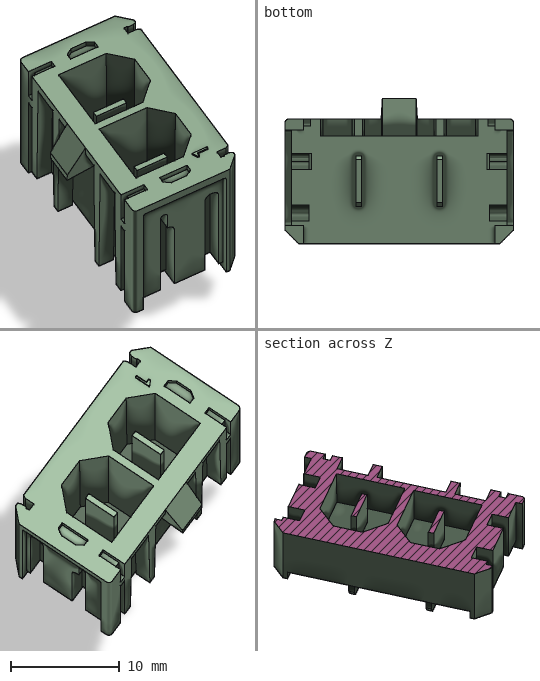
import cadquery as cq


width = 21.08
depth = 11.5
height = 14.73
half_width = width / 2
back_chamfer = 1.29
front_round = 0.4
floor_z = 0.82
foot_width = 1.73
front_foot_depth = 1.01
back_foot_depth = 1.67

pitch = 7.46
pole_places = (-pitch / 2, pitch / 2)
cavity_width = 6.72
cavity_front = 2.21
cavity_length = 7.0
cavity_chamfer = 1.92
cavity_floor_z = 2.1
cavity_taper = 0.5
pin_thickness = 0.55
pin_middle = 5.73
contact_length = 3.23
contact_top_z = 11.36
tail_length = 4.64
tail_tip_z = -3.77
tail_chamfer_y = 0.34
tail_chamfer_z = 0.57

pocket_top_z = 13.77
pocket_depth = 1.55
outer_pocket_top = (4.35, 7.05)
middle_pocket_top = 3.18
pocket_flare = 0.2
rib_bottom_z = 0.15

latch_reach = 1.88
latch_root_width = 3.35
latch_tip_width = 3.05
latch_tip_top_z = 11.78
latch_tip_bottom_z = 11.0
latch_root_bottom_z = 11.47

slot_inner = 8.15
slot_outer = half_width - foot_width
shallow_floor_z = height - 0.6
shallow_slot_depth = 2.45
front_slot_depth = 0.65
bridge_top_z = 11.25
bridge_bottom_z = 10.2
bridge_root_round = 0.21
eye_outer = 9.21
eye_front = 4.13
eye_back = 7.05
eye_chamfer_x = 0.42
eye_chamfer_y = 0.65
back_slot_depth = 1.29
back_slot_end_length = 0.38
back_slot_end_step = 0.08
back_slot_flare_x = 0.15
back_slot_flare_y = 0.32

end_recess_depth = 0.63
end_recess_top_z = 13.77
end_recess_round = 0.32
end_slot_width = 1.48
end_slot_depth = 1.58
end_slot_top_z = 11.49
back_end_slot_front = 7.93
front_end_slot_front = 3.2
end_slot_step_z = 9.38
end_slot_chamfer_x = 0.23
end_slot_chamfer_z = 0.4

mark_height = 0.17
mark_x = 7.3
mark_front = 8.07
mark_length = 1.6
mark_stroke = 0.2
mark_flag_reach = 0.57
mark_flag_height = 0.48


def box(x, y, z):
    """Box from three (low, high) ranges."""
    size = (x[1] - x[0], y[1] - y[0], z[1] - z[0])
    return cq.Workplane("XY").box(*size, centered=False).translate((x[0], y[0], z[0]))


def prism(outline, z_low, z_high):
    """Upright prism on an (X, Y) outline."""
    plane = cq.Workplane("XY").workplane(offset=z_low)
    return plane.polyline(outline).close().extrude(z_high - z_low)


def prism_along_x(outline, x_low, x_high):
    """Prism along X on a (Y, Z) outline."""
    plane = cq.Workplane("YZ").workplane(offset=x_low)
    return plane.polyline(outline).close().extrude(x_high - x_low)


def both_ends(shape):
    """The shape together with its mirror image in X."""
    return shape.union(shape.mirror("YZ"))


def housing_block():
    block = box((-half_width, half_width), (0, depth), (0, height))
    block = block.edges("|Z and >Y").chamfer(back_chamfer)
    block = block.edges("|Z and <Y").fillet(front_round)
    feet_inside = half_width - foot_width
    between_feet_x = box((-feet_inside, feet_inside), (0, depth), (0, floor_z))
    between_feet_y = box(
        (-half_width, half_width), (front_foot_depth, depth - back_foot_depth), (0, floor_z)
    )
    return block.cut(between_feet_x).cut(between_feet_y)


def cavity(x):
    half = cavity_width / 2
    back = cavity_front + cavity_length
    outline = [
        (x - half, cavity_front),
        (x + half, cavity_front),
        (x + half, back - cavity_chamfer),
        (x + half - cavity_chamfer, back),
        (x - half + cavity_chamfer, back),
        (x - half, back - cavity_chamfer),
    ]
    top = cq.Workplane("XY").workplane(offset=height).polyline(outline).close()
    return top.extrude(cavity_floor_z - height, taper=cavity_taper)


def pin(x):
    sides = (x - pin_thickness / 2, x + pin_thickness / 2)
    half_contact = contact_length / 2
    contact = box(
        sides, (pin_middle - half_contact, pin_middle + half_contact), (floor_z, contact_top_z)
    )
    half_tail = tail_length / 2
    half_tip = half_tail - tail_chamfer_y
    shoulder_z = tail_tip_z + tail_chamfer_z
    tail = prism_along_x(
        [
            (pin_middle - half_tail, cavity_floor_z),
            (pin_middle - half_tail, shoulder_z),
            (pin_middle - half_tip, tail_tip_z),
            (pin_middle + half_tip, tail_tip_z),
            (pin_middle + half_tail, shoulder_z),
            (pin_middle + half_tail, cavity_floor_z),
        ],
        *sides,
    )
    return contact.union(tail)


def face_pocket(x_low, x_high):
    """Latch face pocket that widens downwards; the X range is that at the top."""
    outline = [
        (x_low, pocket_top_z),
        (x_high, pocket_top_z),
        (x_high + pocket_flare, floor_z),
        (x_low - pocket_flare, floor_z),
    ]
    return cq.Workplane("XZ").polyline(outline).close().extrude(-pocket_depth)


def rib_ends():
    """Ends of the two middle ribs that stand below the housing floor."""
    inner = middle_pocket_top + pocket_flare
    outer = outer_pocket_top[0] - pocket_flare
    return both_ends(box((inner, outer), (0, pocket_depth), (rib_bottom_z, floor_z)))


def latch():
    profile = prism_along_x(
        [
            (pocket_depth, height),
            (0, height),
            (-latch_reach, latch_tip_top_z),
            (-latch_reach, latch_tip_bottom_z),
            (pocket_depth, latch_root_bottom_z),
        ],
        -latch_root_width / 2,
        latch_root_width / 2,
    )
    half_root = latch_root_width / 2
    half_tip = latch_tip_width / 2
    face_outline = (
        cq.Workplane("XZ", origin=(0, pocket_depth, 0))
        .moveTo(-half_root, height)
        .lineTo(half_root, height)
        .lineTo(half_tip, latch_tip_bottom_z)
        .lineTo(-half_tip, latch_tip_bottom_z)
        .close()
        .extrude(latch_reach + pocket_depth)
    )
    return profile.intersect(face_outline)


def front_slots():
    """Slots above and below the bridges that tie the end walls to the latch face."""
    slot_x = (slot_inner, slot_outer)
    shallow = box(slot_x, (0, shallow_slot_depth), (shallow_floor_z, height))
    upper = box(slot_x, (0, front_slot_depth), (bridge_top_z, height))
    lower = box(slot_x, (0, front_slot_depth), (floor_z, bridge_bottom_z))
    lower = lower.edges("|X and >Y and >Z").fillet(bridge_root_round)
    return both_ends(shallow.union(upper).union(lower))


def top_eyes():
    outline = [
        (slot_inner, eye_front),
        (eye_outer - eye_chamfer_x, eye_front),
        (eye_outer, eye_front + eye_chamfer_y),
        (eye_outer, eye_back - eye_chamfer_y),
        (eye_outer - eye_chamfer_x, eye_back),
        (slot_inner, eye_back),
    ]
    return both_ends(prism(outline, shallow_floor_z, height))


def back_slots():
    """Slots in the back face with a flared mouth and a wider inner end."""
    slot_end = depth - back_slot_depth
    step = slot_end + back_slot_end_length
    flare_start = depth - back_slot_flare_y
    outline = [
        (slot_inner, slot_end),
        (slot_outer + back_slot_end_step, slot_end),
        (slot_outer + back_slot_end_step, step),
        (slot_outer, step),
        (slot_outer, flare_start),
        (slot_outer + back_slot_flare_x, depth),
        (slot_inner - back_slot_flare_x, depth),
        (slot_inner, flare_start),
    ]
    return both_ends(prism(outline, bridge_top_z, height))


def end_recesses():
    floor_x = half_width - end_recess_depth
    recess = box(
        (floor_x, half_width), (front_foot_depth, depth - back_foot_depth), (0, end_recess_top_z)
    )
    return both_ends(recess.edges("|X and >Z").fillet(end_recess_round))


def round_top_slot(x_range, y_low, slot_width_y, top_z):
    """Slot into an end face, open at the bottom and round at the top."""
    radius = slot_width_y / 2
    plane = cq.Workplane("YZ").workplane(offset=x_range[0])
    outline = (
        plane.moveTo(y_low, 0)
        .lineTo(y_low, top_z - radius)
        .threePointArc((y_low + radius, top_z), (y_low + slot_width_y, top_z - radius))
        .lineTo(y_low + slot_width_y, 0)
        .close()
    )
    return outline.extrude(x_range[1] - x_range[0])


def end_slots():
    opening_x = half_width - end_recess_depth
    slot_floor_x = opening_x - end_slot_depth
    slot_x = (slot_floor_x, opening_x)
    back_slot = round_top_slot(slot_x, back_end_slot_front, end_slot_width, end_slot_top_z)
    narrow = round_top_slot(slot_x, front_end_slot_front, end_slot_width / 2, end_slot_top_z)
    wide = round_top_slot(slot_x, front_end_slot_front, end_slot_width, end_slot_step_z)
    floor_chamfer = (
        cq.Workplane("XZ", origin=(0, front_end_slot_front, 0))
        .moveTo(slot_floor_x, floor_z)
        .lineTo(slot_floor_x - end_slot_chamfer_x, floor_z)
        .lineTo(slot_floor_x, floor_z + end_slot_chamfer_z)
        .close()
        .extrude(-end_slot_width)
    )
    return both_ends(back_slot.union(narrow).union(wide).union(floor_chamfer))


def pole_mark():
    """Raised mark beside the first pole: a bar with a short flag."""
    bar_side = mark_x + mark_stroke
    flag_side = mark_x + mark_flag_reach
    flag_top = mark_front + mark_flag_height
    outline = [
        (mark_x, mark_front),
        (flag_side, flag_top - mark_stroke),
        (flag_side, flag_top),
        (bar_side, flag_top),
        (bar_side, mark_front + mark_length),
        (mark_x, mark_front + mark_length),
    ]
    return prism(outline, height, height + mark_height)


result = housing_block()
for pocket in (
    face_pocket(-outer_pocket_top[1], -outer_pocket_top[0]),
    face_pocket(-middle_pocket_top, middle_pocket_top),
    face_pocket(*outer_pocket_top),
):
    result = result.cut(pocket)
for recess in (front_slots(), top_eyes(), back_slots(), end_recesses(), end_slots()):
    result = result.cut(recess)
for pole_x in pole_places:
    result = result.cut(cavity(pole_x)).union(pin(pole_x))
result = result.union(rib_ends()).union(latch()).union(pole_mark())